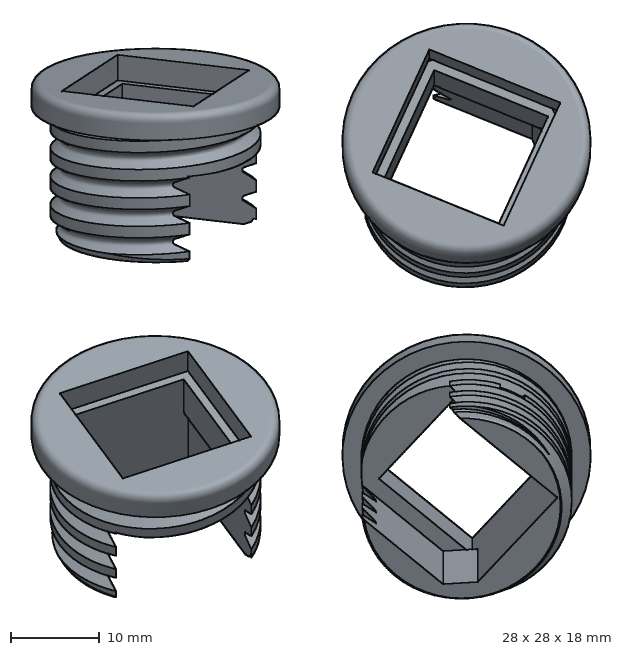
import cadquery as cq
import math

HEAD_DIAMETER = 28.0
TOTAL_HEIGHT = 18.0
HEAD_HEIGHT = 3.0
HEAD_FILLET = 0.98

CREST_RADIUS = 11.87
ROOT_RADIUS = 10.6
PITCH = 3.33
GROOVE_MOUTH = 2.0
GROOVE_FLOOR = 0.73
GROOVE_FLOOR_BULGE = 0.22
GROOVE_Z_AT_PLUS_X = -5.38
TURNS = 6
TURNS_BELOW_REFERENCE = 5
END_CHAMFER_WIDTH = 0.22
END_CHAMFER_HEIGHT = 0.28

SEAT_SIDE = 16.1
OPENING_SIDE = 14.0

CHAMBER_DEPTH = 8.0
CHAMBER_X_MIN = -OPENING_SIDE / 2
CHAMBER_Y_MIN = -8.85
CHAMBER_Y_MAX = 7.55
CHAMBER_CORNER_SUM = -13.08

WINDOW_WIDTH = 3.0
WINDOW_HEIGHT = 2.0
WINDOW_CENTER_X = 3.08

RUNOUT_HEIGHT = 0.78
RUNOUT_RADIUS = 11.15
RUNOUT_OFFSET = 0.55
RUNOUT_ANGLE = 318.0
RUNOUT_TAPER = 27.0

CUT_MARGIN = 0.55


def make_head():
    head = cq.Workplane("XY").circle(HEAD_DIAMETER / 2).extrude(-HEAD_HEIGHT)
    return head.faces(">Z").edges().fillet(HEAD_FILLET)


def make_groove_turn():
    """Round-floored trapezoid swept along one helix turn, cutting the gap between thread crests."""
    start_z = GROOVE_Z_AT_PLUS_X - TURNS_BELOW_REFERENCE * PITCH
    floor_radius = ROOT_RADIUS + GROOVE_FLOOR_BULGE
    flank_slope = (GROOVE_MOUTH - GROOVE_FLOOR) / 2 / (CREST_RADIUS - floor_radius)
    outer_radius = CREST_RADIUS + CUT_MARGIN / 2
    outer_half = GROOVE_MOUTH / 2 + flank_slope * CUT_MARGIN / 2
    floor_half = GROOVE_FLOOR / 2
    helix = cq.Wire.makeHelix(PITCH, PITCH, ROOT_RADIUS).translate(cq.Vector(0, 0, start_z))
    profile = cq.Workplane("XZ").polyline([
        (floor_radius, start_z - floor_half),
        (outer_radius, start_z - outer_half),
        (outer_radius, start_z + outer_half),
        (floor_radius, start_z + floor_half),
    ]).threePointArc((ROOT_RADIUS, start_z), (floor_radius, start_z - floor_half)).close()
    return profile.sweep(cq.Workplane(obj=helix), isFrenet=True)


def make_thread_runout():
    """Ring around an off-centre cone, removed from the lower end of the thread."""
    angle = math.radians(RUNOUT_ANGLE)
    center = (RUNOUT_OFFSET * math.cos(angle), RUNOUT_OFFSET * math.sin(angle))
    blank = cq.Workplane("XY").circle(HEAD_DIAMETER / 2).extrude(RUNOUT_HEIGHT)
    core = cq.Workplane("XY").center(*center).circle(RUNOUT_RADIUS).extrude(RUNOUT_HEIGHT, taper=-RUNOUT_TAPER)
    return blank.cut(core).translate((0, 0, -TOTAL_HEIGHT))


def make_threaded_body():
    body = cq.Workplane("XZ").polyline([
        (0, -HEAD_HEIGHT),
        (CREST_RADIUS, -HEAD_HEIGHT),
        (CREST_RADIUS, -TOTAL_HEIGHT + END_CHAMFER_HEIGHT),
        (CREST_RADIUS - END_CHAMFER_WIDTH, -TOTAL_HEIGHT),
        (0, -TOTAL_HEIGHT),
    ]).close().revolve(360, (0, 0), (0, 1))
    groove_turn = make_groove_turn()
    for turn in range(TURNS):
        body = body.cut(groove_turn.translate((0, 0, turn * PITCH)))
    return body.cut(make_thread_runout())


def make_square_opening():
    seat = cq.Workplane("XY").rect(SEAT_SIDE, SEAT_SIDE).extrude(-HEAD_HEIGHT)
    opening = cq.Workplane("XY").rect(OPENING_SIDE, OPENING_SIDE).extrude(-CHAMBER_DEPTH)
    return seat.union(opening)


def make_chamber():
    open_end = HEAD_DIAMETER / 2
    outline = cq.Workplane("XY").workplane(offset=-CHAMBER_DEPTH).polyline([
        (CHAMBER_X_MIN, CHAMBER_Y_MAX),
        (open_end, CHAMBER_Y_MAX),
        (open_end, CHAMBER_Y_MIN),
        (CHAMBER_CORNER_SUM - CHAMBER_Y_MIN, CHAMBER_Y_MIN),
        (CHAMBER_X_MIN, CHAMBER_CORNER_SUM - CHAMBER_X_MIN),
    ]).close()
    return outline.extrude(-(TOTAL_HEIGHT - CHAMBER_DEPTH + CUT_MARGIN))


def make_window():
    return cq.Workplane("XY").box(
        WINDOW_WIDTH, CREST_RADIUS, WINDOW_HEIGHT, centered=(True, False, False)
    ).translate((WINDOW_CENTER_X, CHAMBER_Y_MAX - CUT_MARGIN, -CHAMBER_DEPTH - WINDOW_HEIGHT))


result = (
    make_head()
    .union(make_threaded_body())
    .cut(make_square_opening())
    .cut(make_chamber())
    .cut(make_window())
)